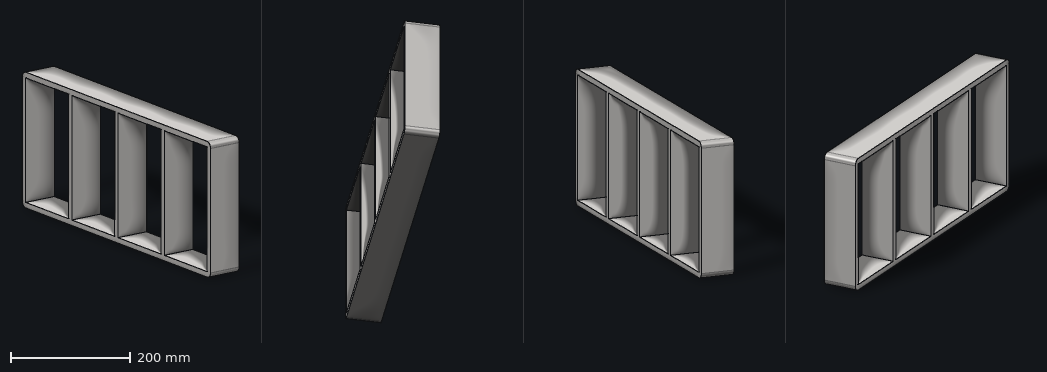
import cadquery as cq

length = 532.0
depth = 60.0
height = 238.0

wall = 10.0
corner_radius = wall
opening_count = 4

opening_width = (length - (opening_count + 1) * wall) / opening_count
opening_height = height - 2 * wall
opening_pitch = opening_width + wall

block = cq.Workplane("XY").box(length, depth, height).edges("|Y").fillet(corner_radius)

openings = (
    cq.Workplane("XZ")
    .rarray(opening_pitch, 5.5, opening_count, 1)
    .rect(opening_width, opening_height)
    .extrude(depth, both=True)
)

result = block.cut(openings)